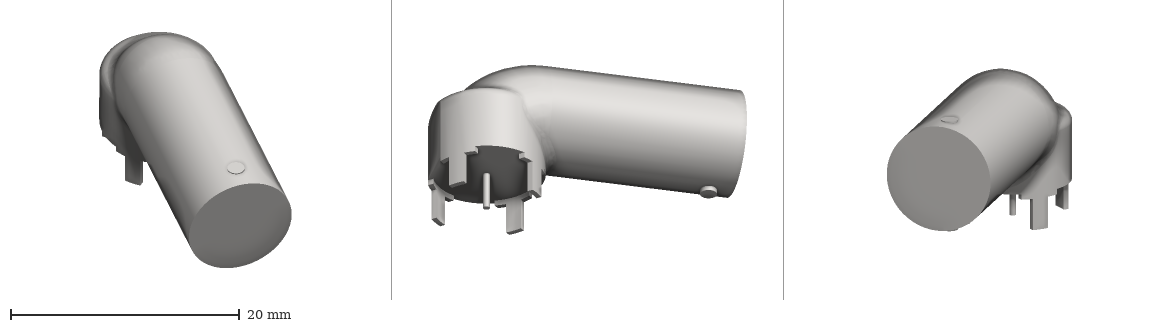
import cadquery as cq

base_radius = 5.2
base_top = 6.7
base_edge_radius = 1.0
flat_distance = 4.7

ring_wall = 0.5
pad_height = 0.5
pad_width = 3.5
leg_width = 1.5
leg_length = 2.85
diagonal_angles = (45, 135, 225, 315)

contact_diameter = 0.6

barrel_radius = 4.75
barrel_axis_height = 6.65
barrel_end_x = 22.31
elbow_radius = barrel_radius
blend_radius = 1.0

stud_diameter = 1.5
stud_x = 20.14
stud_y = 0.33
stud_top = 11.5
stud_length = 10.0

elbow_start_height = barrel_axis_height - elbow_radius


def upright_cylinder(radius, bottom, top):
    return cq.Workplane("XY").workplane(offset=bottom).circle(radius).extrude(top - bottom)


def make_base():
    base = upright_cylinder(base_radius, pad_height, base_top)
    return base.faces(">Z").edges().fillet(base_edge_radius)


def make_elbow():
    """Quarter torus from the vertical base axis to the horizontal barrel axis."""
    return (
        cq.Workplane("XY")
        .workplane(offset=elbow_start_height)
        .circle(barrel_radius)
        .revolve(90, (elbow_radius, 0, 0), (elbow_radius, 1, 0))
    )


def make_barrel():
    return (
        cq.Workplane("YZ")
        .workplane(offset=elbow_radius)
        .center(0, barrel_axis_height)
        .circle(barrel_radius)
        .extrude(barrel_end_x - elbow_radius)
    )


def make_housing():
    """Base, elbow and barrel; the only free-form edges are the seam around the base."""
    housing = make_base().union(make_elbow()).union(make_barrel())
    return housing.edges("%BSPLINE").fillet(blend_radius)


def ring_segments(width, bottom, top):
    """Four pieces of the base ring, each a parallel-sided strip along a diagonal."""
    height = top - bottom
    strips = cq.Workplane("XY")
    for angle in diagonal_angles:
        strip = cq.Workplane("XY").box(base_radius, width, height, centered=(False, True, False))
        strips = strips.add(strip.rotate((0, 0, 0), (0, 0, 1), angle))
    strips = strips.combine().translate((0, 0, bottom))
    ring = upright_cylinder(base_radius, bottom, top).cut(
        upright_cylinder(base_radius - ring_wall, bottom, top)
    )
    return ring.intersect(strips)


def make_contact_pin():
    return upright_cylinder(contact_diameter / 2, -leg_length, pad_height)


def make_stud():
    stud = upright_cylinder(stud_diameter / 2, stud_top - stud_length, stud_top)
    return stud.translate((stud_x, stud_y, 0))


def cut_flat(part):
    """Trim everything beyond the flat on the -X side."""
    trim_depth = base_radius
    trim_width = 2 * base_radius
    trim = cq.Workplane("XY").box(trim_depth, trim_width, 2 * base_top)
    return part.cut(trim.translate((-flat_distance - trim_depth / 2, 0, 0)))


part = make_housing()
part = part.union(ring_segments(pad_width, 0, pad_height))
part = part.union(ring_segments(leg_width, -leg_length, 0))
part = part.union(make_contact_pin()).union(make_stud())
result = cut_flat(part)